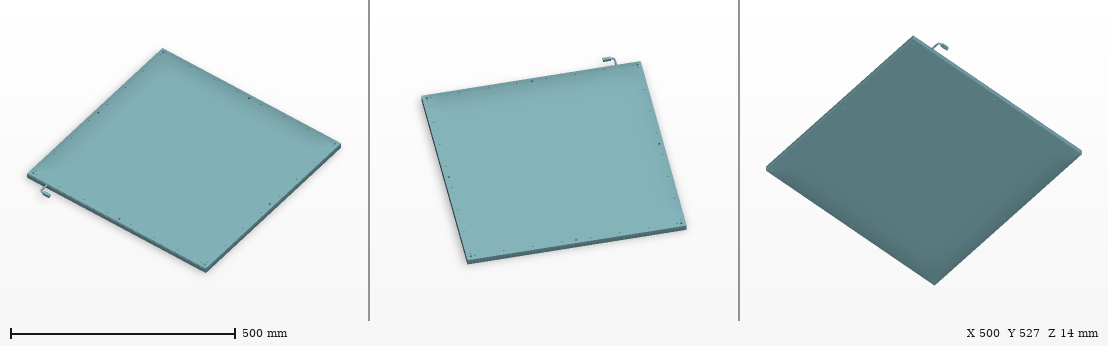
import cadquery as cq


panel_side = 500.0
panel_height = 14.0
sheet_thickness = 1.7
sheet_setback = 1.0
frame_width = 20.0
frame_height = panel_height - 2 * sheet_thickness
half_side = panel_side / 2

hole_line = half_side - frame_width / 2
mounting_hole_diameter = 4.0
mounting_counterbore_diameter = 6.0
screw_hole_diameter = 3.4
screw_holes_per_side = 8
screw_row_length = 462.0
screw_hole_pitch = screw_row_length / (screw_holes_per_side - 1)

overall_length = 527.0
lead_diameter = 4.0
lead_x = -195.0
lead_z = 10.0
lead_bend_radius = 5.0

plug_width = 7.0
plug_height = 7.0
plug_collar_side = 7.5
plug_collar_length = 3.0
plug_start_x = -186.5
plug_length = 17.5
plug_collar_x = -180.0
plug_key_width = 3.0
plug_key_height = 2.0
plug_end_x = plug_start_x + plug_length
plug_y = half_side - overall_length + plug_collar_side / 2


def mounting_hole_points():
    """Corners of the hole square and the middles of its sides."""
    steps = (-hole_line, 0, hole_line)
    return [(x, y) for x in steps for y in steps if (x, y) != (0, 0)]


def screw_hole_points():
    """Evenly spaced rows on all four sides."""
    points = []
    for i in range(screw_holes_per_side):
        along = i * screw_hole_pitch - screw_row_length / 2
        for across in (-hole_line, hole_line):
            points += [(along, across), (across, along)]
    return points


def hole_pins(points, diameter):
    """Cylinders through the full panel height, for cutting."""
    return cq.Workplane("XY").pushPoints(points).circle(diameter / 2).extrude(panel_height)


def make_sheet(bottom_z):
    """Plain cover sheet, set back on the -Y side only."""
    return (
        cq.Workplane("XY", origin=(0, sheet_setback / 2, bottom_z))
        .rect(panel_side, panel_side - sheet_setback)
        .extrude(sheet_thickness)
    )


def make_bottom_sheet():
    """Lower cover sheet, with only the mounting holes."""
    return make_sheet(0).cut(hole_pins(mounting_hole_points(), mounting_hole_diameter))


def make_top_sheet():
    """Upper cover sheet, with the wide ends of the mounting holes and the screw holes."""
    sheet = make_sheet(panel_height - sheet_thickness)
    sheet = sheet.cut(hole_pins(mounting_hole_points(), mounting_counterbore_diameter))
    return sheet.cut(hole_pins(screw_hole_points(), screw_hole_diameter))


def make_frame():
    """Square frame of four bars between the sheets, with only the mounting holes."""
    opening_side = panel_side - 2 * frame_width
    frame = (
        cq.Workplane("XY", origin=(0, 0, sheet_thickness))
        .rect(panel_side, panel_side)
        .rect(opening_side, opening_side)
        .extrude(frame_height)
    )
    return frame.cut(hole_pins(mounting_hole_points(), mounting_hole_diameter))


def make_lead():
    """Round lead from the frame's -Y face, through a quarter bend, to the plug."""
    path = (
        cq.Workplane("XY", origin=(0, 0, lead_z))
        .moveTo(lead_x, -half_side)
        .lineTo(lead_x, plug_y + lead_bend_radius)
        .radiusArc((lead_x + lead_bend_radius, plug_y), -lead_bend_radius)
        .lineTo(plug_start_x, plug_y)
    )
    profile = cq.Workplane("XZ", origin=(lead_x, -half_side, lead_z)).circle(lead_diameter / 2)
    return profile.sweep(path)


def make_plug():
    """Square plug centred on the lead, with a collar, and a key from the collar on along the underside."""
    body = (
        cq.Workplane("YZ", origin=(plug_start_x, plug_y, lead_z))
        .rect(plug_width, plug_height)
        .extrude(plug_length)
    )
    collar = (
        cq.Workplane("YZ", origin=(plug_collar_x, plug_y, lead_z))
        .rect(plug_collar_side, plug_collar_side)
        .extrude(plug_collar_length)
    )
    key = (
        cq.Workplane("YZ", origin=(plug_collar_x, plug_y, lead_z - plug_height / 2))
        .rect(plug_key_width, 2 * plug_key_height)
        .extrude(plug_end_x - plug_collar_x)
    )
    return body.union(collar).union(key)


bottom_sheet = make_bottom_sheet()
top_sheet = make_top_sheet()
frame = make_frame()
lead = make_lead()
plug = make_plug()

result = cq.Compound.makeCompound(
    [bottom_sheet.val(), frame.val(), top_sheet.val(), lead.val(), plug.val()]
)